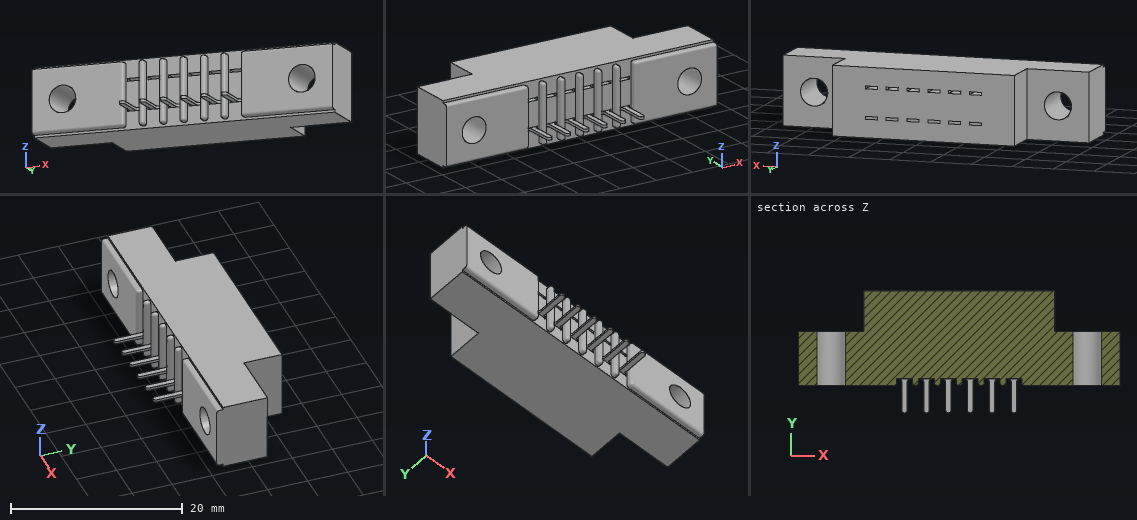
import cadquery as cq

length = 37.47
height = 8.4
overall_depth = 14.28
rear_width = 22.25
rear_depth = 4.75
standoff = 0.8
pin_reach = 3.2
pad_inset = 0.3
pad_radius = 0.35

housing_depth = overall_depth - standoff - pin_reach
ear_depth = housing_depth - rear_depth
pad_height = height - 2 * pad_inset

hole_diameter = 3.3
hole_offset = 14.9

contact_count = 6
pitch = 2.55
row_offset = 1.8
slot_width = 1.45
slot_height = 0.35
pin_width = 0.67

rib_width = 0.75
rib_radius = 0.352

contact_xs = [(i - (contact_count - 1) / 2) * pitch for i in range(contact_count)]
rib_xs = [(i - (contact_count - 2) / 2) * pitch for i in range(contact_count - 1)]
pad_inner_x = contact_count / 2 * pitch - rib_width / 2
pad_length = length / 2 - pad_inner_x


def box(width, depth, tall, x, y, z=0.0):
    """Box centred on x and z, running from y towards +Y."""
    return cq.Workplane("XY").box(width, depth, tall, centered=(True, False, True)).translate((x, y, z))


def make_pad(side):
    """Mounting pad on one ear, rounded on every front edge except the outer one."""
    pad = box(pad_length, standoff, pad_height, side * (pad_inner_x + pad_length / 2), -standoff)
    inner_side = "<X" if side > 0 else ">X"
    return (
        pad.faces("<Y").edges("|X").fillet(pad_radius)
        .faces(inner_side).edges("<Y").fillet(pad_radius)
    )


def make_rib(x):
    """Upright rib between two contacts, with a rounded front and ends."""
    rib = box(rib_width, standoff, pad_height, x, -standoff)
    rib = rib.faces("<Y").edges("|X").fillet(rib_radius)
    for side_face in ("<X", ">X"):
        rib = rib.faces(side_face).edges("<Y").fillet(rib_radius)
    return rib


def make_housing():
    body = box(length, ear_depth, height, 0, 0)
    body = body.union(box(rear_width, rear_depth, height, 0, ear_depth))
    for side in (-1, 1):
        body = body.union(make_pad(side))
    for x in rib_xs:
        body = body.union(make_rib(x))

    hole_drill = (
        cq.Workplane("XZ", origin=(0, -standoff, 0))
        .pushPoints([(-hole_offset, 0), (hole_offset, 0)])
        .circle(hole_diameter / 2)
        .extrude(-(standoff + ear_depth))
    )
    body = body.cut(hole_drill)

    for x in contact_xs:
        for z in (-row_offset, row_offset):
            body = body.cut(box(slot_width, housing_depth, slot_height, x, 0, z))
    return body


def make_contact(x):
    """Flat contact: a blade filling its lower slot, flared down to a pin with a round tip."""
    half_slot = slot_width / 2
    half_pin = pin_width / 2
    flare = half_slot - half_pin
    tip_y = -standoff - pin_reach
    mid_flare = flare * (1 - 0.5 ** 0.5)
    return (
        cq.Workplane("XY", origin=(x, 0, -row_offset - slot_height / 2))
        .moveTo(-half_slot, housing_depth)
        .lineTo(-half_slot, 0)
        .threePointArc(
            (-half_pin - mid_flare, -mid_flare),
            (-half_pin, -flare),
        )
        .lineTo(-half_pin, tip_y + half_pin)
        .threePointArc((0, tip_y), (half_pin, tip_y + half_pin))
        .lineTo(half_pin, -flare)
        .threePointArc(
            (half_pin + mid_flare, -mid_flare),
            (half_slot, 0),
        )
        .lineTo(half_slot, housing_depth)
        .close()
        .extrude(slot_height)
    )


housing = make_housing()
contacts = [make_contact(x) for x in contact_xs]

result = cq.Compound.makeCompound([housing.val(), *[contact.val() for contact in contacts]])